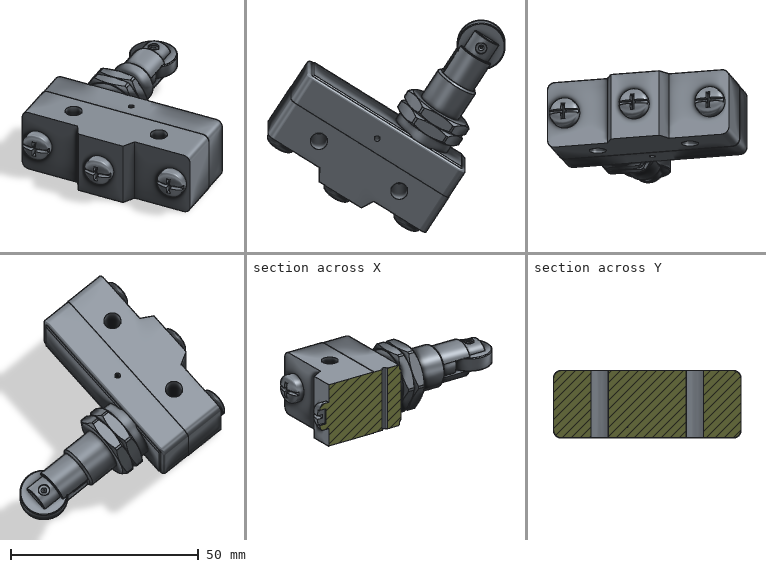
import cadquery as cq
import math


case_length = 50.0
case_width = 18.0
case_height = 11.4
case_corner = 2.0

cover_inset = 0.08
cover_top = 19.93
cover_edge_fillet = 0.65

plate_inset = 1.2
plate_rise = 0.4
plate_corner = 0.6
plate_chamfer = 0.39

bump_base_length = 17.0
bump_tip_length = 13.3
bump_height = 3.3

mount_hole_diameter = 4.5
mount_hole_spacing = 25.4
mount_hole_y = 6.05
pilot_hole_diameter = 1.5
pilot_hole_y = 15.0

screw_spacing = 20.0
screw_radius = 3.92
screw_side_height = 1.85
screw_dome_rise = 1.45
drive_slot_width = 1.0
long_slot_depth = 1.7
cross_slot_length = 4.3
cross_slot_depth = 2.4

plunger_x = -10.68
collar_radius = 8.15
collar_top = 22.8

nut_flats = 17.0
nut_corner_diameter = 19.25
nut_face_diameter = 16.8
nut_thickness = 3.3
nut_count = 2
nut_chamfer_angle = 30.0

sleeve_radius = 5.9
sleeve_top = 38.3
sleeve_chamfer = 0.6

plunger_radius = 5.12
plunger_top = 47.15
core_radius = 4.3
core_top = 42.8
fork_tip_radius = 4.25
fork_tip_top = 52.75
fork_chamfer = 0.2

roller_radius = 6.4
roller_width = 3.9
roller_y = 49.77
roller_chamfer = 0.25
pin_recess_radius = 1.5
pin_recess_depth = 0.7
pin_dimple_radius = 0.75
pin_dimple_floor_radius = 0.3
pin_dimple_depth = 0.45


def block(length, width, y_start, y_end):
    """Box centred on X and Z between two Y levels."""
    height = y_end - y_start
    box = cq.Workplane("XY").box(length, height, width, centered=(True, False, True))
    return box.translate((0, y_start, 0))


def plunger_cylinder(radius, y_start, y_end):
    """Cylinder on the plunger axis between two Y levels."""
    base = cq.Workplane("XZ", origin=(plunger_x, y_start, 0))
    return base.circle(radius).extrude(y_start - y_end)


def cross_hole(x, y, diameter):
    """Cutter passing through the case along Z."""
    base = cq.Workplane("XY", origin=(x, y, 0))
    return base.circle(diameter / 2).extrude(case_width, both=True)


def make_case():
    lower = block(case_length, case_width, 0, case_height)
    lower = lower.edges("|Y").fillet(case_corner)

    cover_length = case_length - 2 * cover_inset
    cover_width = case_width - 2 * cover_inset
    cover = block(cover_length, cover_width, case_height, cover_top)
    cover = cover.edges("|Y").fillet(case_corner)
    cover = cover.faces(">Y").edges().fillet(cover_edge_fillet)

    plate_length = cover_length - 2 * plate_inset
    plate_width = cover_width - 2 * plate_inset
    plate = block(plate_length, plate_width, cover_top, cover_top + plate_rise)
    plate = plate.edges("|Y").fillet(plate_corner)
    plate = plate.faces(">Y").edges().chamfer(plate_chamfer)

    bump = (
        cq.Workplane("XY", origin=(0, 0, -case_width / 2))
        .moveTo(-bump_base_length / 2, 0)
        .lineTo(-bump_tip_length / 2, -bump_height)
        .lineTo(bump_tip_length / 2, -bump_height)
        .lineTo(bump_base_length / 2, 0)
        .close()
        .extrude(case_width)
    )

    case = lower.union(cover).union(plate).union(bump)
    for side in (-1, 1):
        case = case.cut(cross_hole(side * mount_hole_spacing / 2, mount_hole_y, mount_hole_diameter))
    return case.cut(cross_hole(0, pilot_hole_y, pilot_hole_diameter))


def make_screw(x, seat_y):
    """Domed screw head with a full-width slot and a deeper, shorter cross slot."""
    head_height = screw_side_height + screw_dome_rise
    head = (
        cq.Workplane("XY")
        .lineTo(screw_radius, 0)
        .lineTo(screw_radius, -screw_side_height)
        .ellipseArc(screw_radius, screw_dome_rise, -90, 0, sense=-1)
        .close()
        .revolve(360, (0, 0, 0), (0, 1, 0))
    )
    long_slot = block(2 * screw_radius, drive_slot_width, -2 * head_height, long_slot_depth - head_height)
    cross_slot = block(drive_slot_width, cross_slot_length, -2 * head_height, cross_slot_depth - head_height)
    return head.cut(long_slot).cut(cross_slot).translate((x, seat_y, 0))


def make_nut(y_start):
    """Hex nut with flats facing Z and turned, double-chamfered corners."""
    corner_radius = nut_corner_diameter / 2
    face_radius = nut_face_diameter / 2
    drop = (corner_radius - face_radius) * math.tan(math.radians(nut_chamfer_angle))
    hexagon = (
        cq.Workplane("XZ")
        .polygon(6, nut_flats / math.cos(math.pi / 6))
        .extrude(-nut_thickness)
    )
    turned = (
        cq.Workplane("XY")
        .lineTo(face_radius, 0)
        .lineTo(corner_radius, drop)
        .lineTo(corner_radius, nut_thickness - drop)
        .lineTo(face_radius, nut_thickness)
        .lineTo(0, nut_thickness)
        .close()
        .revolve(360, (0, 0, 0), (0, 1, 0))
    )
    return hexagon.intersect(turned).translate((plunger_x, y_start, 0))


def make_fork():
    """Stepped plunger, slotted for the roller, with a solid core low in the slot."""
    shank = plunger_cylinder(plunger_radius, sleeve_top, plunger_top)
    shank = shank.faces(">Y").edges().chamfer(fork_chamfer)
    tip = plunger_cylinder(fork_tip_radius, plunger_top, fork_tip_top)
    tip = tip.faces(">Y").edges().chamfer(fork_chamfer)
    arms = shank.union(tip)
    slot = block(4 * plunger_radius, roller_width, sleeve_top, fork_tip_top)
    arms = arms.cut(slot.translate((plunger_x, 0, 0)))
    return arms.union(plunger_cylinder(core_radius, sleeve_top, core_top))


def make_roller():
    roller = (
        cq.Workplane("XY", origin=(plunger_x, roller_y, -roller_width / 2))
        .circle(roller_radius)
        .extrude(roller_width)
    )
    return roller.edges().chamfer(roller_chamfer)


def pin_end_cutter():
    """Round recess with a conical dimple in its floor, on the +Z side."""
    floor = fork_tip_radius - pin_recess_depth
    dimple_floor = floor - pin_dimple_depth
    profile = (
        cq.Workplane("XZ")
        .moveTo(0, dimple_floor)
        .lineTo(pin_dimple_floor_radius, dimple_floor)
        .lineTo(pin_dimple_radius, floor)
        .lineTo(pin_recess_radius, floor)
        .lineTo(pin_recess_radius, plunger_radius)
        .lineTo(0, plunger_radius)
        .close()
    )
    cutter = profile.revolve(360, (0, 0, 0), (0, 1, 0))
    return cutter.translate((plunger_x, roller_y, 0))


def make_plunger():
    sleeve = plunger_cylinder(sleeve_radius, collar_top, sleeve_top)
    sleeve = sleeve.faces(">Y").edges().chamfer(sleeve_chamfer)
    plunger = plunger_cylinder(collar_radius, cover_top, collar_top).union(sleeve)
    for index in range(nut_count):
        plunger = plunger.union(make_nut(collar_top + index * nut_thickness))
    plunger = plunger.union(make_fork()).union(make_roller())
    recess = pin_end_cutter()
    return plunger.cut(recess).cut(recess.mirror("XY"))


result = make_case().union(make_plunger())
for screw_x, screw_seat in ((-screw_spacing, 0), (0, -bump_height), (screw_spacing, 0)):
    result = result.union(make_screw(screw_x, screw_seat))